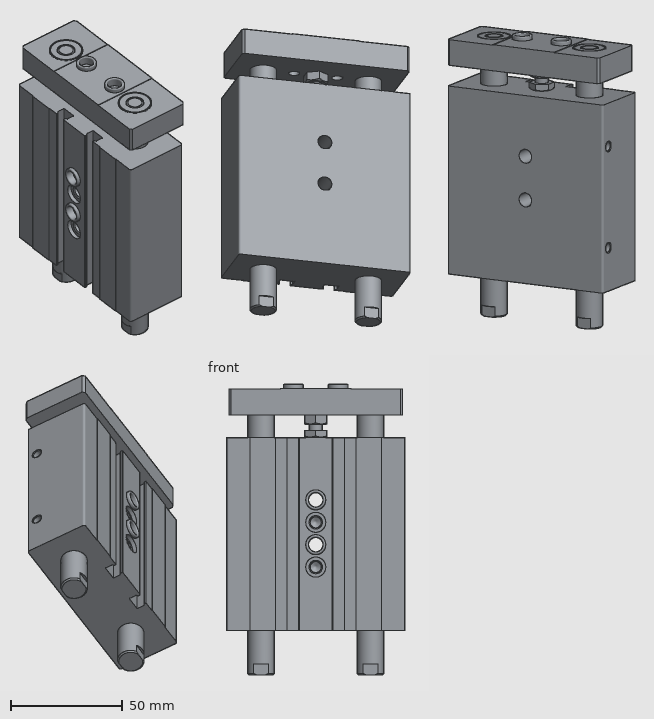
import cadquery as cq
import math


DRILL_POINT = 118.0
NUT_CHAMFER_ANGLE = 30.0

housing_width = 80.0
housing_height = 86.5
housing_half_depth = 15.0
housing_corner_radius = 1.0
pad_thickness = 1.3
pad_height = 0.3
centre_pad_half_width = 7.7
centre_pad_chamfer = 0.4
bearing_pad_inner = 18.0
bearing_pad_outer = 29.5

slot_opening_width = 5.2
slot_depth = 5.1
slot_hook = 0.8
slot_lip_thickness = 0.8

mount_pitch = 10.0
mount_count = 4
mount_centre_offset = 0.3
through_hole_diameter = 6.4
blind_mouth_diameter = 6.0
blind_hole_diameter = 5.0
blind_hole_depth = 10.4

port_diameter = 4.2
port_mouth_diameter = 5.0
port_depth = 9.1
port_y = 10.0
port_end_distance = 20.0

sleeve_diameter = 9.0
sleeve_bore = 6.4
sleeve_seat_depth = 2.0
plate_sleeve_projection = 2.0
front_sleeve_projection = 1.5
plate_sleeve_x = 10.0

rod_x = 24.5
rod_diameter = 12.0
rod_bottom_projection = 20.0
rod_end_chamfer = 0.7
rod_flat_spacing = 10.0
rod_flat_height = 5.0
rod_head_diameter = 15.0
rod_head_height = 5.0
rod_head_chamfer = 0.5
rod_groove_outer = 8.0
rod_groove_inner = 6.4
rod_groove_depth = 0.7

plate_width = 78.0
plate_height = 12.0
plate_pad_height = 0.2
plate_pad_half_width = 15.8
plate_back = 17.0
plate_front = 14.1
plate_corner_chamfer = 1.0
stroke_gap = 10.0
piston_rod_diameter = 6.0
piston_rod_engagement = 10.0
nut_across_flats = 9.9
upper_nut_height = 4.2
lower_nut_height = 3.3
nut_chamfer_diameter = 8.9

front_y = -housing_half_depth
pad_y = front_y - pad_height
plate_bottom = housing_height + stroke_gap
plate_top = plate_bottom + plate_height
rod_bottom = -rod_bottom_projection
head_top = plate_top - plate_pad_height
head_bottom = head_top - rod_head_height
mount_centre = housing_height / 2 + mount_centre_offset
mount_heights = [mount_centre + mount_pitch * ((mount_count - 1) / 2 - i) for i in range(mount_count)]
sleeve_heights = mount_heights[0::2]
blind_heights = mount_heights[1::2]
port_heights = [port_end_distance, housing_height - port_end_distance]


def rod_shape(diameter, length, start, direction):
    """A plain cylinder from a start point along a direction."""
    return cq.Workplane(cq.Solid.makeCylinder(diameter / 2, length, cq.Vector(*start), cq.Vector(*direction)))


def cone_shape(base, top, length, start, direction):
    """A cone or frustum from a start point along a direction."""
    return cq.Workplane(
        cq.Solid.makeCone(base / 2, top / 2, length, cq.Vector(*start), cq.Vector(*direction))
    )


def drilled_hole(diameter, mouth, depth, start, direction):
    """A drilled blind hole with a countersunk mouth and a conical bottom."""
    end = cq.Vector(*start) + cq.Vector(*direction) * depth
    tip = diameter / 2 / math.tan(math.radians(DRILL_POINT / 2))
    return (
        rod_shape(diameter, depth, start, direction)
        .union(cone_shape(diameter, 0, tip, end.toTuple(), direction))
        .union(cone_shape(mouth, diameter, (mouth - diameter) / 2, start, direction))
    )


def front_pad(x, width):
    """A full-height strip standing proud of the front face and rooted in it."""
    return (
        cq.Workplane("XY")
        .center(x, pad_y + pad_thickness / 2)
        .rect(width, pad_thickness)
        .extrude(housing_height)
    )


def housing_block():
    block = (
        cq.Workplane("XY")
        .rect(housing_width, 2 * housing_half_depth)
        .extrude(housing_height)
        .edges("|Z")
        .fillet(housing_corner_radius)
    )
    bearing_pad_width = bearing_pad_outer - bearing_pad_inner
    bearing_pad_x = (bearing_pad_outer + bearing_pad_inner) / 2
    for x in (-bearing_pad_x, bearing_pad_x):
        block = block.union(front_pad(x, bearing_pad_width))
    centre_pad = front_pad(0, 2 * centre_pad_half_width).faces("<Y").edges("|Z").chamfer(centre_pad_chamfer)
    return block.union(centre_pad)


def sensor_slot(left):
    """A slot with a sloped undercut behind both lips."""
    right = left + slot_opening_width
    floor_y = front_y + slot_depth
    lip_y = front_y + slot_lip_thickness
    outline = [
        (left, pad_y),
        (left, lip_y),
        (left - slot_hook, lip_y + slot_hook),
        (left - slot_hook, floor_y),
        (right + slot_hook, floor_y),
        (right + slot_hook, lip_y + slot_hook),
        (right, lip_y),
        (right, pad_y),
    ]
    return cq.Workplane("XY").polyline(outline).close().extrude(housing_height)


def make_housing():
    body = housing_block()
    for left in (-centre_pad_half_width - slot_opening_width, centre_pad_half_width):
        body = body.cut(sensor_slot(left))

    inward = (0, 1, 0)
    seat_length = sleeve_seat_depth
    for z in mount_heights:
        body = body.cut(rod_shape(sleeve_diameter, seat_length, (0, pad_y, z), inward))
    for z in sleeve_heights:
        body = body.cut(rod_shape(through_hole_diameter, 3 * housing_half_depth, (0, pad_y, z), inward))
    for z in blind_heights:
        start = (0, pad_y + seat_length, z)
        body = body.cut(
            drilled_hole(blind_hole_diameter, blind_mouth_diameter, blind_hole_depth, start, inward)
        )
    for z in port_heights:
        start = (-housing_width / 2, port_y, z)
        body = body.cut(drilled_hole(port_diameter, port_mouth_diameter, port_depth, start, (1, 0, 0)))

    for x in (-rod_x, rod_x):
        body = body.cut(rod_shape(rod_diameter, housing_height, (x, 0, 0), (0, 0, 1)))
    return body.cut(
        rod_shape(piston_rod_diameter, piston_rod_engagement, (0, 0, housing_height), (0, 0, -1))
    )


def hexagon(height, bottom):
    """A hexagon with a corner towards the front and its lower corners chamfered."""
    corner_diameter = nut_across_flats / math.cos(math.radians(30))
    prism = (
        cq.Workplane("XY", origin=(0, 0, bottom))
        .polygon(6, corner_diameter)
        .extrude(height)
        .rotate((0, 0, 0), (0, 0, 1), 30)
    )
    widest = nut_chamfer_diameter + 2 * height / math.tan(math.radians(NUT_CHAMFER_ANGLE))
    return prism.intersect(
        cone_shape(nut_chamfer_diameter, widest, height, (0, 0, bottom), (0, 0, 1))
    )


def make_yoke():
    plate = (
        cq.Workplane("XY", origin=(0, (plate_back - plate_front) / 2, plate_bottom))
        .rect(plate_width, plate_back + plate_front)
        .extrude(plate_height)
        .edges("|Z")
        .chamfer(plate_corner_chamfer)
    )
    end_length = plate_width / 2 - plate_pad_half_width
    end_x = plate_pad_half_width + end_length / 2
    down = (0, 0, -1)
    for side in (-1, 1):
        lowered_end = cq.Workplane("XY", origin=(side * end_x, 0, head_top))
        plate = plate.cut(lowered_end.rect(end_length, 2 * plate_back).extrude(plate_pad_height))
        x = side * rod_x
        plate = plate.cut(rod_shape(rod_diameter, plate_height, (x, 0, plate_top), down))
        plate = plate.cut(rod_shape(rod_head_diameter, plate_top - head_bottom, (x, 0, plate_top), down))
        x = side * plate_sleeve_x
        plate = plate.cut(rod_shape(sleeve_diameter, sleeve_seat_depth, (x, 0, plate_top), down))
        screw_start = (x, 0, plate_top - sleeve_seat_depth)
        plate = plate.cut(drilled_hole(blind_hole_diameter, sleeve_bore, plate_height, screw_start, down))

    piston_length = piston_rod_engagement + stroke_gap
    piston_rod = rod_shape(piston_rod_diameter, piston_length, (0, 0, plate_bottom), down)
    return (
        plate.union(piston_rod)
        .union(hexagon(upper_nut_height, plate_bottom - upper_nut_height))
        .union(hexagon(lower_nut_height, housing_height))
    )


def make_guide_rod(x):
    shaft = (
        cq.Workplane("XY", origin=(x, 0, rod_bottom))
        .circle(rod_diameter / 2)
        .extrude(head_bottom - rod_bottom)
        .faces("<Z")
        .chamfer(rod_end_chamfer)
    )
    lower_end = (
        cq.Workplane("XY", origin=(x, 0, rod_bottom))
        .rect(rod_diameter, rod_flat_spacing)
        .extrude(rod_flat_height)
    )
    above_flats = cq.Workplane("XY", origin=(x, 0, rod_bottom + rod_flat_height)).rect(
        rod_diameter, rod_diameter
    )
    shaft = shaft.intersect(lower_end.union(above_flats.extrude(head_bottom - rod_bottom)))
    head = (
        cq.Workplane("XY", origin=(x, 0, head_bottom))
        .circle(rod_head_diameter / 2)
        .extrude(rod_head_height)
        .faces(">Z")
        .chamfer(rod_head_chamfer)
    )
    groove_floor = (x, 0, head_top - rod_groove_depth)
    upward = (0, 0, 1)
    groove = rod_shape(rod_groove_outer, rod_groove_depth, groove_floor, upward).cut(
        cone_shape(rod_groove_outer, rod_groove_inner, rod_groove_depth, groove_floor, upward)
    )
    return shaft.union(head).cut(groove)


def make_sleeve(projection):
    """A sleeve with a fully rounded free end, standing on its seat floor at the origin."""
    inner = sleeve_bore / 2
    outer = sleeve_diameter / 2
    length = sleeve_seat_depth + projection
    round_start = length - (outer - inner) / 2
    return (
        cq.Workplane("XZ")
        .moveTo(inner, 0)
        .lineTo(outer, 0)
        .lineTo(outer, round_start)
        .threePointArc(((inner + outer) / 2, length), (inner, round_start))
        .close()
        .revolve(360, (0, 0, 0), (0, 1, 0))
    )


housing = make_housing()
yoke = make_yoke()
guide_rods = [make_guide_rod(x) for x in (-rod_x, rod_x)]
plate_sleeves = [
    make_sleeve(plate_sleeve_projection).translate((x, 0, plate_top - sleeve_seat_depth))
    for x in (-plate_sleeve_x, plate_sleeve_x)
]
front_sleeves = [
    make_sleeve(front_sleeve_projection)
    .rotate((0, 0, 0), (1, 0, 0), 90)
    .translate((0, pad_y + sleeve_seat_depth, z))
    for z in sleeve_heights
]

bodies = [housing, yoke, *guide_rods, *plate_sleeves, *front_sleeves]
result = cq.Compound.makeCompound([body.solids().val() for body in bodies])